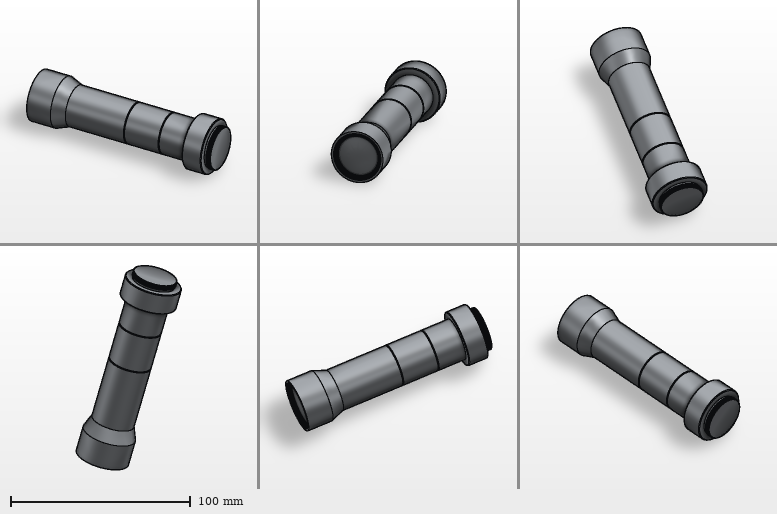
import cadquery as cq

length = 114.2

barrel_radius = 15.2
barrel_length = 15.0
cone_end = 22.8
tube_radius = 12.2

groove_starts = (59.4, 81.2)
groove_width = 0.6
groove_depth = 0.2

collar_radius = 16.2
collar_start = 98.2
collar_end = 110.2
collar_chamfer = 0.5

neck_radius = 12.2
thread_start = 111.4
thread_radius = 12.7
thread_depth = 0.5
thread_count = 4
thread_pitch = (length - thread_start) / thread_count
crest_width = thread_pitch / 4

recess_radius = 13.8
ring_outer_radius = 13.3
ring_inner_radius = 11.8
ring_count = 4
lens_radius = 11.1
lens_depth = 2.3
lens_sag = 0.9


def cylinder(radius, start, end):
    """Solid cylinder about the X axis between two X positions."""
    return cq.Workplane("YZ", origin=(start, 0, 0)).circle(radius).extrude(end - start)


def make_body():
    """Barrel, cone, tube and neck turned in one profile."""
    profile = (
        cq.Workplane("XY")
        .lineTo(0, barrel_radius)
        .lineTo(barrel_length, barrel_radius)
        .lineTo(cone_end, tube_radius)
        .lineTo(collar_start, tube_radius)
        .lineTo(collar_end, neck_radius)
        .lineTo(thread_start, neck_radius)
        .lineTo(thread_start, 0)
        .close()
    )
    return profile.revolve(360, (0, 0, 0), (1, 0, 0))


def make_collar():
    """Rear collar with both outer edges chamfered."""
    return cylinder(collar_radius, collar_start, collar_end).edges().chamfer(collar_chamfer)


def make_thread():
    """Threaded end as a row of ridges with flat crests."""
    root_radius = thread_radius - thread_depth
    flank_width = (thread_pitch - crest_width) / 2
    profile = cq.Workplane("XY").moveTo(thread_start, 0).lineTo(thread_start, root_radius)
    for index in range(thread_count):
        start = thread_start + index * thread_pitch
        profile = (
            profile.lineTo(start + flank_width, thread_radius)
            .lineTo(start + flank_width + crest_width, thread_radius)
            .lineTo(start + thread_pitch, root_radius)
        )
    return profile.lineTo(length, 0).close().revolve(360, (0, 0, 0), (1, 0, 0))


def make_groove(start):
    """Ring that cuts one groove around the tube."""
    end = start + groove_width
    return cylinder(barrel_radius, start, end).cut(cylinder(tube_radius - groove_depth, start, end))


def make_recess():
    """Stepped front opening, ending on the convex lens surface."""
    ring_step = (ring_outer_radius - ring_inner_radius) / (ring_count - 1)
    step_depth = lens_depth / (ring_count + 1)
    profile = cq.Workplane("XY").moveTo(0, 0).lineTo(0, recess_radius).lineTo(step_depth, recess_radius)
    for index in range(ring_count):
        radius = ring_outer_radius - index * ring_step
        depth = (index + 1) * step_depth
        profile = profile.lineTo(depth, radius).lineTo(depth + step_depth, radius)
    lens_top = lens_depth - lens_sag
    arc_middle_radius = lens_radius / 2
    lens_curve_radius = (lens_radius**2 + lens_sag**2) / (2 * lens_sag)
    arc_middle_drop = lens_curve_radius - (lens_curve_radius**2 - arc_middle_radius**2) ** 0.5
    profile = (
        profile.lineTo(lens_depth, lens_radius)
        .threePointArc((lens_top + arc_middle_drop, arc_middle_radius), (lens_top, 0))
        .close()
    )
    return profile.revolve(360, (0, 0, 0), (1, 0, 0))


result = make_body().union(make_collar()).union(make_thread())
for groove_start in groove_starts:
    result = result.cut(make_groove(groove_start))
result = result.cut(make_recess())